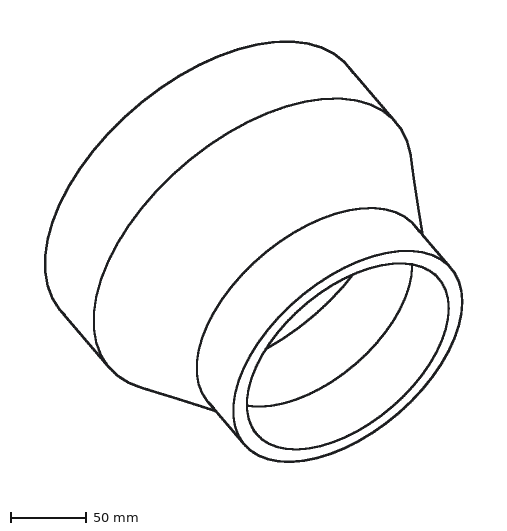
import cadquery as cq

large_diameter = 250.0
large_wall = 14.8
small_diameter = 180.0
small_wall = 10.7

large_spigot_length = 60.0
cone_length = 72.0
small_spigot_length = 45.0

cone_start = large_spigot_length
cone_end = cone_start + cone_length
total_length = cone_end + small_spigot_length


def reducer_body(large_radius, small_radius):
    """Solid of revolution about X: cylinder, cone, cylinder."""
    half_profile = (
        cq.Workplane("XY")
        .moveTo(0, 0)
        .lineTo(0, large_radius)
        .lineTo(cone_start, large_radius)
        .lineTo(cone_end, small_radius)
        .lineTo(total_length, small_radius)
        .lineTo(total_length, 0)
        .close()
    )
    return half_profile.revolve(360, (0, 0, 0), (1, 0, 0))


outer_body = reducer_body(large_diameter / 2, small_diameter / 2)
bore = reducer_body(large_diameter / 2 - large_wall, small_diameter / 2 - small_wall)

result = outer_body.cut(bore)